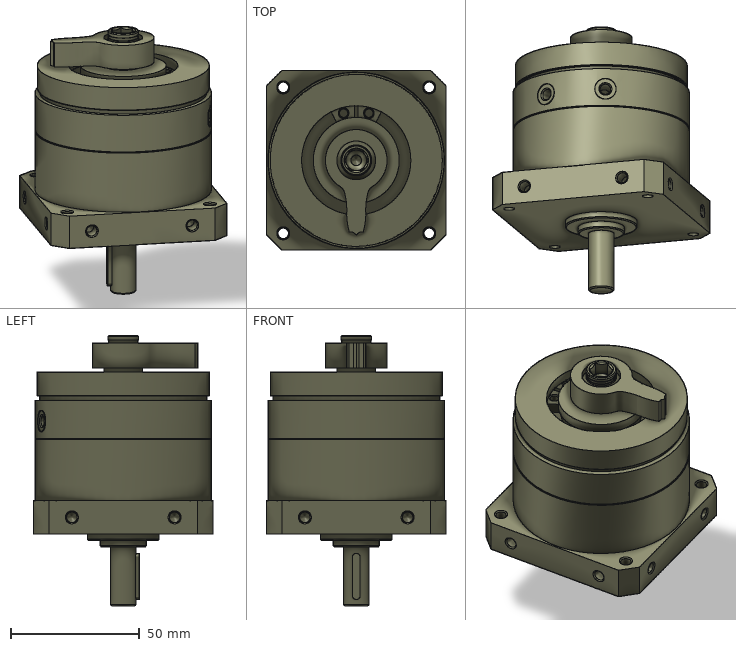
import cadquery as cq
import math

TIP_Z = 0.0
COLLAR_BOTTOM_Z = 23.0
PILOT_BOTTOM_Z = 25.6
FLANGE_BOTTOM_Z = 28.0
FLANGE_TOP_Z = 41.0
SEAM_Z = 65.0
BODY_TOP_Z = 80.1
CAP_BOTTOM_Z = 81.6
CAP_TOP_Z = 91.0
LEVER_BOTTOM_Z = 92.6
LEVER_TOP_Z = 102.3
SHAFT_TOP_Z = 105.2

FLANGE_WIDTH = 70.0
FLANGE_CORNER_CUT = 6.0
BODY_DIAMETER = 68.7
NECK_DIAMETER = 65.0
CAP_DIAMETER = 67.0
CAP_CHAMFER = 0.3
PILOT_DIAMETER = 28.0
COLLAR_DIAMETER = 18.0
EDGE_CHAMFER = 0.4
SEAM_WIDTH = 0.4
SEAM_DEPTH = 0.2

FLANGE_HOLE_DIAMETER = 4.1
FLANGE_HOLE_MOUTH = 5.0
CORNER_HOLE_OFFSET = 28.4
SIDE_HOLE_OFFSET = 20.0
SIDE_HOLE_Z = 34.5
SIDE_HOLE_DEPTH = 6.3
DRILL_POINT_ANGLE = 118.0
COUNTERSINK_ANGLE = 90.0

PORT_Z = 72.0
PORT_ANGLE = 21.0
PORT_DIAMETER = 4.1
PORT_MOUTH = 5.0
PORT_DEPTH = 8.4
PORT_SEAT_DIAMETER = 8.3
PORT_SEAT_DEPTH = 0.4

GROOVE_INNER_DIAMETER = 33.5
GROOVE_OUTER_DIAMETER = 42.5
INNER_UNDERCUT = 1.0
OUTER_UNDERCUT = 0.5
UNDERCUT_INNER_DIAMETER = GROOVE_INNER_DIAMETER - 2 * INNER_UNDERCUT
UNDERCUT_OUTER_DIAMETER = GROOVE_OUTER_DIAMETER + 2 * OUTER_UNDERCUT
GROOVE_LIP_HEIGHT = 4.0
UNDERCUT_HEIGHT = 4.0
GROOVE_LIP_Z = CAP_TOP_Z - GROOVE_LIP_HEIGHT
GROOVE_FLOOR_Z = GROOVE_LIP_Z - UNDERCUT_HEIGHT

SHAFT_DIAMETER = 10.0
SHAFT_TIP_CHAMFER = 0.5
HUB_DIAMETER = 15.0
HUB_TAPER_BOTTOM_Z = 99.9
HUB_TAPER_TOP_Z = 101.6
NUB_DIAMETER = 12.0
NUB_RELIEF_DIAMETER = 11.5
NUB_RELIEF_TOP_Z = 103.5
NUB_RELIEF_WIDTH = 1.2
NUB_CHAMFER = 0.4
SOCKET_WIDTH = 8.0
SOCKET_DEPTH = 5.3
SOCKET_MOUTH_DIAMETER = 9.5
CENTER_HOLE_DIAMETER = 4.1
CENTER_HOLE_DEPTH = 10.5

KEY_WIDTH = 3.0
KEY_BOTTOM_Z = 2.5
KEY_LENGTH = 18.0
KEY_REACH = 6.3

LEVER_DIAMETER = 24.0
LEVER_NECK_ANGLE = 32.0
ARM_FILLET_MIDDLE = (5.0, -11.5)
ARM_FILLET_END = (4.4, -13.2)
ARM_NECK_MIDDLE = (3.9, -15.8)
ARM_WAIST = (3.7, -18.6)
ARM_TIP_MIDDLE = (3.6, -23.5)
ARM_END = (2.7, -27.9)
POINTER_HALF_WIDTH = 1.2
POINTER_REACH = 29.0
STOP_GAP = 1.5
STOP_END_ANGLE = 27.4
STOP_HOLE_ANGLE = 15.0
STOP_HOLE_DIAMETER = 3.3
STOP_HOLE_MOUTH = 4.1


def disc(diameter, bottom_z, top_z):
    return cq.Workplane("XY").workplane(offset=bottom_z).circle(diameter / 2).extrude(top_z - bottom_z)


def turned(profile):
    """Solid of revolution about Z from (radius, z) points."""
    return cq.Workplane("XZ").polyline(profile).close().revolve(360, (0, 0, 0), (0, 1, 0))


def drill_point_height(radius):
    return radius / math.tan(math.radians(DRILL_POINT_ANGLE / 2))


def drilled_hole(diameter, mouth, depth, start, direction):
    """Cutter for a blind hole with a 45 degree mouth chamfer and a drill point."""
    radius = diameter / 2
    cutter = turned([
        (0, 0),
        (mouth / 2, 0),
        (radius, (mouth - diameter) / 2),
        (radius, depth),
        (0, depth + drill_point_height(radius)),
    ])
    return cq.Workplane(cutter.val().located(cq.Location(cq.Plane(origin=start, normal=direction))))


def ring(outer_diameter, inner_diameter, bottom_z, top_z):
    return disc(outer_diameter, bottom_z, top_z).cut(disc(inner_diameter, bottom_z, top_z))


def make_flange():
    flange = (
        cq.Workplane("XY")
        .workplane(offset=FLANGE_BOTTOM_Z)
        .rect(FLANGE_WIDTH, FLANGE_WIDTH)
        .extrude(FLANGE_TOP_Z - FLANGE_BOTTOM_Z)
        .edges("|Z")
        .chamfer(FLANGE_CORNER_CUT)
    )
    corner_spacing = 2 * CORNER_HOLE_OFFSET
    flange = (
        flange.faces(">Z")
        .workplane()
        .rect(corner_spacing, corner_spacing, forConstruction=True)
        .vertices()
        .cskHole(FLANGE_HOLE_DIAMETER, FLANGE_HOLE_MOUTH, COUNTERSINK_ANGLE)
    )
    for side in range(4):
        for offset in (-SIDE_HOLE_OFFSET, SIDE_HOLE_OFFSET):
            start = (offset, -FLANGE_WIDTH / 2, SIDE_HOLE_Z)
            hole = drilled_hole(FLANGE_HOLE_DIAMETER, FLANGE_HOLE_MOUTH, SIDE_HOLE_DEPTH, start, (0, 1, 0))
            flange = flange.cut(hole.rotate((0, 0, 0), (0, 0, 1), 90 * side))
    return flange


def make_port_cutter():
    """Radial air port in the +Y direction: a flat round seat with a drilled hole in it."""
    seat_y = BODY_DIAMETER / 2 - PORT_SEAT_DEPTH
    hole = drilled_hole(PORT_DIAMETER, PORT_MOUTH, PORT_DEPTH, (0, seat_y, PORT_Z), (0, -1, 0))
    seat = (
        cq.Workplane(cq.Plane(origin=(0, seat_y, PORT_Z), normal=(0, 1, 0)))
        .circle(PORT_SEAT_DIAMETER / 2)
        .extrude(PORT_SEAT_DIAMETER)
    )
    return hole.union(seat)


def make_body():
    """Round body with a seam line around it and two radial air ports."""
    seam_floor = BODY_DIAMETER - 2 * SEAM_DEPTH
    seam = ring(BODY_DIAMETER, seam_floor, SEAM_Z - SEAM_WIDTH / 2, SEAM_Z + SEAM_WIDTH / 2)
    body = disc(BODY_DIAMETER, FLANGE_TOP_Z, BODY_TOP_Z).cut(seam)
    for angle in (-PORT_ANGLE, PORT_ANGLE):
        body = body.cut(make_port_cutter().rotate((0, 0, 0), (0, 0, 1), angle))
    return body


def make_output_shaft():
    """Lower shaft end with a round-ended key standing out on its -Y side."""
    shaft = disc(SHAFT_DIAMETER, TIP_Z, COLLAR_BOTTOM_Z).faces("<Z").chamfer(SHAFT_TIP_CHAMFER)
    key = (
        cq.Workplane("XZ")
        .center(0, KEY_BOTTOM_Z + KEY_LENGTH / 2)
        .slot2D(KEY_LENGTH, KEY_WIDTH, 90)
        .extrude(KEY_REACH)
    )
    return shaft.union(key)


def make_hub():
    """Upper shaft end: hub for the lever, taper, and nub with a hexagon socket."""
    nub_radius = NUB_DIAMETER / 2
    relief_radius = NUB_RELIEF_DIAMETER / 2
    hub = turned([
        (0, CAP_TOP_Z),
        (HUB_DIAMETER / 2, CAP_TOP_Z),
        (HUB_DIAMETER / 2, HUB_TAPER_BOTTOM_Z),
        (nub_radius, HUB_TAPER_TOP_Z),
        (nub_radius, NUB_RELIEF_TOP_Z - NUB_RELIEF_WIDTH),
        (relief_radius, NUB_RELIEF_TOP_Z - NUB_RELIEF_WIDTH),
        (relief_radius, NUB_RELIEF_TOP_Z),
        (nub_radius, NUB_RELIEF_TOP_Z),
        (nub_radius, SHAFT_TOP_Z - NUB_CHAMFER),
        (nub_radius - NUB_CHAMFER, SHAFT_TOP_Z),
        (0, SHAFT_TOP_Z),
    ])
    socket_floor_z = SHAFT_TOP_Z - SOCKET_DEPTH
    hexagon = (
        cq.Workplane("XY")
        .workplane(offset=socket_floor_z)
        .transformed(rotate=(0, 0, 30))
        .polygon(6, SOCKET_WIDTH, circumscribed=True)
        .extrude(SOCKET_DEPTH)
    )
    mouth_radius = SOCKET_MOUTH_DIAMETER / 2
    bore_radius = SOCKET_WIDTH / 2
    center_radius = CENTER_HOLE_DIAMETER / 2
    center_floor_z = SHAFT_TOP_Z - CENTER_HOLE_DEPTH
    bore = turned([
        (0, SHAFT_TOP_Z),
        (mouth_radius, SHAFT_TOP_Z),
        (bore_radius, SHAFT_TOP_Z - (mouth_radius - bore_radius)),
        (bore_radius, socket_floor_z),
        (center_radius, socket_floor_z - drill_point_height(bore_radius - center_radius)),
        (center_radius, center_floor_z),
        (0, center_floor_z - drill_point_height(center_radius)),
    ])
    return hub.cut(hexagon).cut(bore)


def make_housing():
    """Housing with its shaft ends, and the undercut ring groove open at the top of the cap."""
    pilot = disc(PILOT_DIAMETER, PILOT_BOTTOM_Z, FLANGE_BOTTOM_Z).faces("<Z").chamfer(EDGE_CHAMFER)
    collar = disc(COLLAR_DIAMETER, COLLAR_BOTTOM_Z, PILOT_BOTTOM_Z).faces("<Z").chamfer(EDGE_CHAMFER)
    neck = disc(NECK_DIAMETER, BODY_TOP_Z, CAP_BOTTOM_Z)
    cap = disc(CAP_DIAMETER, CAP_BOTTOM_Z, CAP_TOP_Z).faces("<Z").chamfer(CAP_CHAMFER)
    groove = ring(GROOVE_OUTER_DIAMETER, GROOVE_INNER_DIAMETER, GROOVE_LIP_Z, CAP_TOP_Z)
    undercut = ring(UNDERCUT_OUTER_DIAMETER, UNDERCUT_INNER_DIAMETER, GROOVE_FLOOR_Z, GROOVE_LIP_Z)

    housing = make_flange()
    for section in (make_output_shaft(), collar, pilot, make_body(), neck, cap, make_hub()):
        housing = housing.union(section)
    return housing.cut(groove).cut(undercut)


def make_lever():
    """Round lever on the hub, with a waisted arm and a small pointer at its -Y end."""
    radius = LEVER_DIAMETER / 2
    neck_angle = math.radians(LEVER_NECK_ANGLE)
    end_radius = math.hypot(*ARM_END)
    pointer_base_y = -math.sqrt(end_radius**2 - POINTER_HALF_WIDTH**2)
    end_middle_x = (ARM_END[0] + POINTER_HALF_WIDTH) / 2
    end_middle_y = -math.sqrt(end_radius**2 - end_middle_x**2)
    half = (
        cq.Workplane("XY")
        .workplane(offset=LEVER_BOTTOM_Z)
        .moveTo(0, radius)
        .threePointArc((radius, 0), (radius * math.sin(neck_angle), -radius * math.cos(neck_angle)))
        .threePointArc(ARM_FILLET_MIDDLE, ARM_FILLET_END)
        .threePointArc(ARM_NECK_MIDDLE, ARM_WAIST)
        .threePointArc(ARM_TIP_MIDDLE, ARM_END)
        .threePointArc((end_middle_x, end_middle_y), (POINTER_HALF_WIDTH, pointer_base_y))
        .lineTo(0, -POINTER_REACH)
        .close()
        .extrude(LEVER_TOP_Z - LEVER_BOTTOM_Z)
    )
    lever = half.union(half.mirror("YZ"))
    return lever.cut(disc(HUB_DIAMETER, LEVER_BOTTOM_Z, LEVER_TOP_Z))


def make_stop(side):
    """Ring segment in the undercut of the groove, on the +X (side 1) or -X (side -1) side of the gap."""
    half_gap = side * STOP_GAP / 2
    reach = UNDERCUT_OUTER_DIAMETER
    slope = side * math.tan(math.radians(STOP_END_ANGLE))
    wedge = (
        cq.Workplane("XY")
        .workplane(offset=GROOVE_FLOOR_Z)
        .moveTo(half_gap, half_gap / slope)
        .lineTo(half_gap, reach)
        .lineTo(reach * slope, reach)
        .close()
        .extrude(UNDERCUT_HEIGHT)
    )
    segment = ring(UNDERCUT_OUTER_DIAMETER, UNDERCUT_INNER_DIAMETER, GROOVE_FLOOR_Z, GROOVE_LIP_Z)
    hole_radius = (GROOVE_INNER_DIAMETER + GROOVE_OUTER_DIAMETER) / 4
    hole_angle = math.radians(STOP_HOLE_ANGLE)
    return (
        segment.intersect(wedge)
        .faces(">Z")
        .workplane(origin=(0, 0, 0))
        .pushPoints([(side * hole_radius * math.sin(hole_angle), hole_radius * math.cos(hole_angle))])
        .cskHole(STOP_HOLE_DIAMETER, STOP_HOLE_MOUTH, COUNTERSINK_ANGLE)
    )


housing = make_housing()
lever = make_lever()
stops = [make_stop(side) for side in (-1, 1)]

result = cq.Compound.makeCompound([housing.val(), lever.val(), *(stop.val() for stop in stops)])